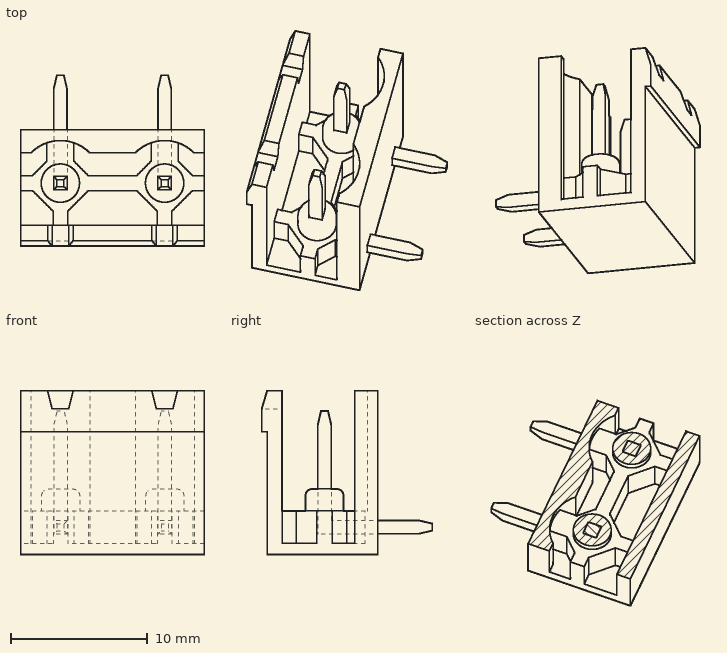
import cadquery as cq
import math

width = 13.42
height = 12.0
back_y = 8.51
floor_thickness = 0.83

latch_overhang = 0.4
front_inner_y = 1.5
back_inner_y = 6.8
lip_bottom_z = 8.98
lip_bevel_height = 1.34

pitch = 7.62
contact_y = 4.6
contact_xs = (-pitch / 2, pitch / 2)
bar_size = 0.99
tip_size = 0.52
tip_length = 1.0
contact_top_z = 10.51
tail_z = 2.01
tail_end_y = 12.5

recess_radius = 3.0
recess_offset = 0.11

base_top_z = 3.2
rib_width = 1.1
rear_neck_width = 1.96
front_neck_width = 1.07
pad_half_width = 2.04

collar_diameter = 2.8
collar_top_z = 4.8
collar_round = 0.5

notch_top_width = 1.88
notch_bottom_width = 1.21


def make_shell():
    """U-shaped profile with the bevelled latch lip, extruded along X."""
    profile = [
        (latch_overhang, 0),
        (back_y, 0),
        (back_y, height),
        (back_inner_y, height),
        (back_inner_y, floor_thickness),
        (front_inner_y, floor_thickness),
        (front_inner_y, height),
        (latch_overhang, height),
        (0, height - lip_bevel_height),
        (0, lip_bottom_z),
        (latch_overhang, lip_bottom_z),
    ]
    return cq.Workplane("YZ").polyline(profile).close().extrude(width / 2, both=True)


def make_recess(x):
    """Half-round clearance behind a contact, cut into the back wall above the floor."""
    return (
        cq.Workplane("XY", origin=(x, contact_y + recess_offset, floor_thickness))
        .moveTo(-recess_radius, 0)
        .lineTo(recess_radius, 0)
        .threePointArc((0, recess_radius), (-recess_radius, 0))
        .close()
        .extrude(height - floor_thickness)
    )


def make_notch(x):
    """Flared notch through the top of the latch."""
    top = notch_top_width / 2
    bottom = notch_bottom_width / 2
    notch_floor_z = height - lip_bevel_height
    outline = [(-bottom, notch_floor_z), (bottom, notch_floor_z), (top, height), (-top, height)]
    return (
        cq.Workplane("XZ", origin=(x, 0, 0))
        .polyline(outline)
        .close()
        .extrude(-front_inner_y)
    )


def make_rib():
    """Straight rib along X that links the contact pads."""
    return (
        cq.Workplane("XY", origin=(0, contact_y, 0))
        .rect(width, rib_width)
        .extrude(base_top_z)
    )


def make_pad(x):
    """Pad under one contact, with 45 degree sides narrowing to a neck at each wall."""
    rear_neck = rear_neck_width / 2
    front_neck = front_neck_width / 2
    rib_half = rib_width / 2
    rear_neck_y = rib_half + pad_half_width - rear_neck
    front_neck_y = -(rib_half + pad_half_width - front_neck)
    rear_corner_y = recess_offset + math.sqrt(recess_radius**2 - rear_neck**2)
    front_end_y = front_inner_y - contact_y
    return (
        cq.Workplane("XY", origin=(x, contact_y, 0))
        .moveTo(-front_neck, front_end_y)
        .lineTo(front_neck, front_end_y)
        .lineTo(front_neck, front_neck_y)
        .lineTo(pad_half_width, -rib_half)
        .lineTo(pad_half_width, rib_half)
        .lineTo(rear_neck, rear_neck_y)
        .lineTo(rear_neck, rear_corner_y)
        .threePointArc((0, recess_offset + recess_radius), (-rear_neck, rear_corner_y))
        .lineTo(-rear_neck, rear_neck_y)
        .lineTo(-pad_half_width, rib_half)
        .lineTo(-pad_half_width, -rib_half)
        .lineTo(-front_neck, front_neck_y)
        .close()
        .extrude(base_top_z)
    )


def make_collar(x):
    """Round collar with a rounded top edge, standing on a pad."""
    return (
        cq.Workplane("XY", origin=(x, contact_y, base_top_z))
        .circle(collar_diameter / 2)
        .extrude(collar_top_z - base_top_z)
        .faces(">Z")
        .edges()
        .fillet(collar_round)
    )


def make_bar(start, direction, length):
    """Square bar along a direction, ending in a tapered tip."""
    plane = cq.Plane(origin=start, xDir=(1, 0, 0), normal=direction)
    shaft_length = length - tip_length
    shaft = cq.Workplane(plane).rect(bar_size, bar_size).extrude(shaft_length)
    tip = (
        cq.Workplane(plane)
        .workplane(offset=shaft_length)
        .rect(bar_size, bar_size)
        .workplane(offset=tip_length)
        .rect(tip_size, tip_size)
        .loft(ruled=True)
    )
    return shaft.union(tip)


def make_contact(x):
    """Right-angled contact: an upright pin joined to a tail through the back wall."""
    bend_bottom_z = tail_z - bar_size / 2
    bend_front_y = contact_y - bar_size / 2
    pin = make_bar((x, contact_y, bend_bottom_z), (0, 0, 1), contact_top_z - bend_bottom_z)
    tail = make_bar((x, bend_front_y, tail_z), (0, 1, 0), tail_end_y - bend_front_y)
    return pin.union(tail)


def make_housing(contacts):
    """Housing with a matching passage for each contact."""
    body = make_shell()
    for x in contact_xs:
        body = body.cut(make_recess(x)).cut(make_notch(x))
    body = body.union(make_rib())
    for x in contact_xs:
        body = body.union(make_pad(x)).union(make_collar(x))
    for contact in contacts:
        body = body.cut(contact)
    return body


contacts = [make_contact(x) for x in contact_xs]
housing = make_housing(contacts)

result = cq.Compound.makeCompound(
    [housing.solids().val(), *[contact.solids().val() for contact in contacts]]
)